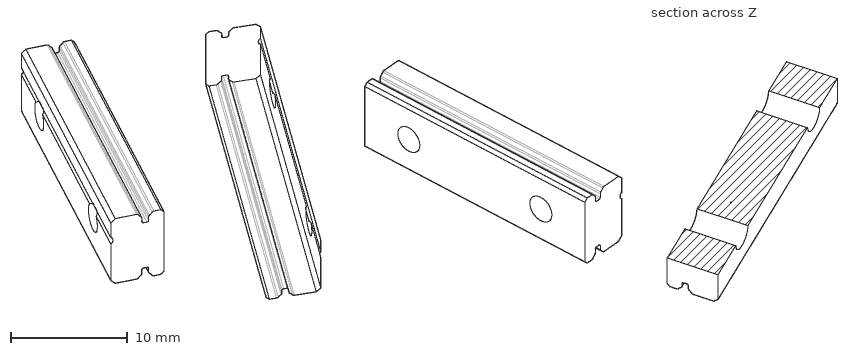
import cadquery as cq

LENGTH = 25.0
DEPTH = 4.8
HEIGHT = 7.0
FRONT_CHAMFER = 0.4
BACK_CHAMFER = 0.3

RACEWAY_FROM_BACK = 1.7
MOUTH_HALF_WIDTH = 0.68
MOUTH_DEPTH = 0.42
FLANK_RADIUS = 1.25
SLOT_HALF_WIDTH = 0.3
SLOT_DEPTH = 1.05
MOUTH_FILLET = 0.18
LIP_FILLET = 0.2
SLOT_FILLET = 0.15

MARK_RADIUS = 0.4
MARK_DEPTH = 0.2
MARK_HEIGHT = 1.2

HOLE_DIAMETER = 2.5
HOLE_SPACING = 15.0

FRONT_Y = -DEPTH / 2
RACEWAY_Y = DEPTH / 2 - RACEWAY_FROM_BACK
TOP_Z = HEIGHT / 2


def chamfered_bar():
    bar = cq.Workplane("XY").box(LENGTH, DEPTH, HEIGHT)
    bar = bar.faces("<Y").edges("|X").chamfer(FRONT_CHAMFER)
    return bar.faces(">Y").edges("|X").chamfer(BACK_CHAMFER)


def raceway_cutter():
    """Cutter for the top raceway, with flanks hollowed to a ball-track radius."""
    lip_z = TOP_Z - MOUTH_DEPTH
    floor_z = TOP_Z - SLOT_DEPTH
    return (
        cq.Workplane("YZ", origin=(-LENGTH / 2, 0, 0))
        .moveTo(RACEWAY_Y - MOUTH_HALF_WIDTH, TOP_Z)
        .radiusArc((RACEWAY_Y - SLOT_HALF_WIDTH, lip_z), -FLANK_RADIUS)
        .lineTo(RACEWAY_Y - SLOT_HALF_WIDTH, floor_z)
        .lineTo(RACEWAY_Y + SLOT_HALF_WIDTH, floor_z)
        .lineTo(RACEWAY_Y + SLOT_HALF_WIDTH, lip_z)
        .radiusArc((RACEWAY_Y + MOUTH_HALF_WIDTH, TOP_Z), -FLANK_RADIUS)
        .close()
        .extrude(LENGTH)
    )


def fillet_raceway_edges(bar, half_width, depth, radius):
    """Round the four lengthwise edges at this offset from the raceway centre and this depth."""
    tolerance = 0.02
    for side in (-1, 1):
        for level in (-1, 1):
            y = RACEWAY_Y + side * half_width
            z = level * (TOP_Z - depth)
            near_edge = cq.selectors.BoxSelector(
                (-tolerance, y - tolerance, z - tolerance),
                (tolerance, y + tolerance, z + tolerance),
            )
            bar = bar.edges(near_edge).fillet(radius)
    return bar


def cut_raceways(bar):
    cutter = raceway_cutter()
    bar = bar.cut(cutter).cut(cutter.mirror("XY"))
    bar = fillet_raceway_edges(bar, MOUTH_HALF_WIDTH, 0, MOUTH_FILLET)
    bar = fillet_raceway_edges(bar, SLOT_HALF_WIDTH, MOUTH_DEPTH, LIP_FILLET)
    return fillet_raceway_edges(bar, SLOT_HALF_WIDTH, SLOT_DEPTH, SLOT_FILLET)


def marking_groove_cutter():
    axis_y = FRONT_Y + MARK_DEPTH - MARK_RADIUS
    return (
        cq.Workplane("YZ", origin=(-LENGTH / 2, 0, 0))
        .center(axis_y, MARK_HEIGHT)
        .circle(MARK_RADIUS)
        .extrude(LENGTH)
    )


def mounting_hole_cutter():
    return (
        cq.Workplane("XZ", origin=(0, DEPTH / 2, 0))
        .pushPoints([(-HOLE_SPACING / 2, 0), (HOLE_SPACING / 2, 0)])
        .circle(HOLE_DIAMETER / 2)
        .extrude(DEPTH)
    )


bar = cut_raceways(chamfered_bar())
result = bar.cut(marking_groove_cutter()).cut(mounting_hole_cutter())